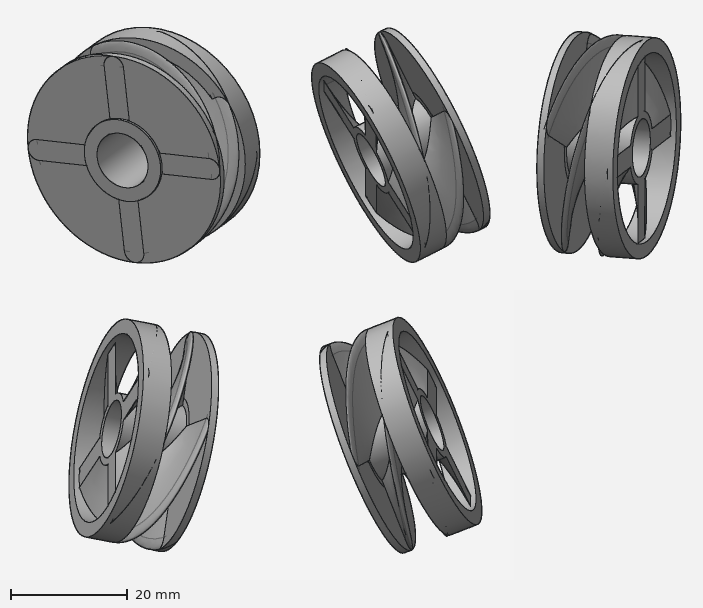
import cadquery as cq

outer_radius = 19.05
bore_radius = 5.03
hub_radius = 6.32
collar_radius = 7.55
collar_projection = 0.5
front_disc_thickness = 1.3
rim_width = 5.1
rim_inner_radius = 16.5
screw_setback = 1.0
total_depth = 14.2
blade_count = 4
tip_clearance = 0.02
blade_width = 3.85
screw_twist = 173.3
back_blade_angle = 90.0

back_face = total_depth - collar_projection
screw_length = back_face - screw_setback
blade_tip_radius = blade_width / 2


def front_plane(y):
    """Plane across the axis at depth y, with local X along +X, local Y along +Z and normal -Y."""
    return cq.Plane(origin=(0, y, 0), xDir=(1, 0, 0), normal=(0, -1, 0))


def cylinder(radius, front, back):
    return cq.Workplane(front_plane(back)).circle(radius).extrude(back - front)


def make_blade(index):
    """Round-ended bar twisted about the axis, from the back end of the screw to the front face."""
    tip_reach = outer_radius - tip_clearance
    straight_length = tip_reach - blade_tip_radius
    angle = back_blade_angle + index * 360 / blade_count
    return (
        cq.Workplane(front_plane(screw_length))
        .transformed(rotate=(0, 0, angle))
        .moveTo(0, -blade_tip_radius)
        .lineTo(straight_length, -blade_tip_radius)
        .threePointArc((tip_reach, 0), (straight_length, blade_tip_radius))
        .lineTo(0, blade_tip_radius)
        .close()
        .twistExtrude(screw_length, -screw_twist)
    )


def make_screw():
    """Collared hub carrying the twisted blades, bored through."""
    screw = cylinder(hub_radius, 0, screw_length)
    screw = screw.union(cylinder(collar_radius, -collar_projection, front_disc_thickness))
    for index in range(blade_count):
        screw = screw.union(make_blade(index))
    return screw.cut(cylinder(bore_radius, -collar_projection, screw_length))


def make_recessed_ring(inner_radius, front, back, screw):
    """Ring around the axis with recesses that match the screw."""
    ring = cylinder(outer_radius, front, back).cut(cylinder(inner_radius, front, back))
    return ring.cut(screw)


screw = make_screw()
front_disc = make_recessed_ring(bore_radius, 0, front_disc_thickness, screw)
rim = make_recessed_ring(rim_inner_radius, back_face - rim_width, back_face, screw)

result = cq.Compound.makeCompound([screw.val(), front_disc.val(), rim.val()])